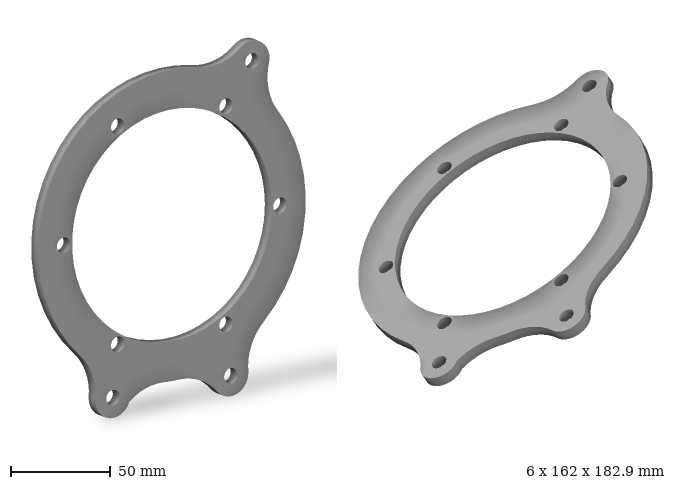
import cadquery as cq
import math

thickness = 6.0
ring_radius = 81.0
bore_radius = 60.3

hole_diameter = 8.0
ring_hole_count = 6
ring_hole_circle_radius = 65.5

lug_radius = 10.6
lug_fillet_radius = 30.0
roll_angle = math.radians(0.7)
lower_lug_y = 35.6
lower_lug_z = -84.0
upper_lug_y = 48.5
upper_lug_z = 77.7
cornered_lug_center = (-lower_lug_y, lower_lug_z)
lug_centers = [
    (lower_lug_y, lower_lug_z),
    cornered_lug_center,
    (upper_lug_y, upper_lug_z),
]


def plate(sketch):
    """Extrude a YZ sketch to the plate thickness, centred on X = 0."""
    return sketch.extrude(thickness / 2, both=True)


def disk(center, radius):
    return plate(cq.Workplane("YZ").center(*center).circle(radius))


def fillet_center(lug_center, side):
    """Centre of the fillet between ring and lug; side is +1 or -1 around the ring."""
    lug_distance = math.hypot(*lug_center)
    lug_angle = math.atan2(lug_center[1], lug_center[0])
    to_ring = ring_radius + lug_fillet_radius
    to_lug = lug_radius + lug_fillet_radius
    cosine = (to_ring**2 + lug_distance**2 - to_lug**2) / (2 * to_ring * lug_distance)
    spread = math.acos(cosine)
    if lug_center == cornered_lug_center and side > 0:
        spread -= roll_angle
    angle = lug_angle + side * spread
    return (to_ring * math.cos(angle), to_ring * math.sin(angle))


def lug(center):
    """Round lug and its web, hollowed on both sides by fillet arcs."""
    fillets = [fillet_center(center, side) for side in (-1, 1)]
    kite = [(0, 0), fillets[0], center, fillets[1]]
    web = plate(cq.Workplane("YZ").polyline(kite).close())
    for fillet in fillets:
        web = web.cut(disk(fillet, lug_fillet_radius))
    return web.union(disk(center, lug_radius))


body = disk((0, 0), ring_radius)
for lug_center in lug_centers:
    body = body.union(lug(lug_center))
body = body.cut(disk((0, 0), bore_radius))

ring_holes = plate(
    cq.Workplane("YZ")
    .polarArray(ring_hole_circle_radius, 0, 360, ring_hole_count)
    .circle(hole_diameter / 2)
)
lug_holes = plate(cq.Workplane("YZ").pushPoints(lug_centers).circle(hole_diameter / 2))
result = body.cut(ring_holes).cut(lug_holes)